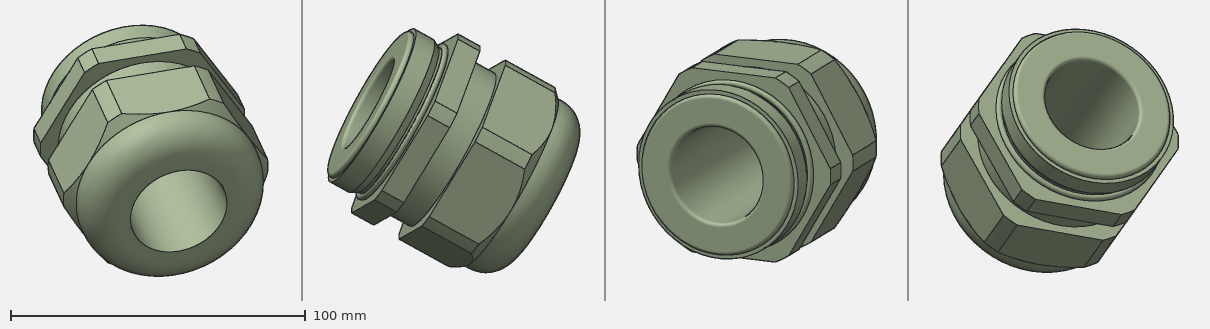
import cadquery as cq
import math

total_length = 69.0
across_flats = 65.0
across_corners = 72.0
bore_diameter = 34.0
lead_diameter = 56.35
thread_diameter = 59.3
neck_diameter = 59.4
edge_rounding = 1.3
ring_thickness = 2.15
ring_diameter = 60.2

thread_start = 1.65
thread_end = 9.0
groove_start = 11.6
flange_start = 14.5
flange_end = 23.1
nut_start = 33.0
nut_chamfer_start = 52.55
dome_start = 55.9
dome_rounding_start = 57.9
dome_rounding = total_length - dome_rounding_start

overlap = 0.7


def cylinder(start, end, diameter):
    return cq.Workplane("YZ").workplane(offset=start).circle(diameter / 2).extrude(end - start)


def rounded_hexagon(start, end):
    """Hexagonal prism with flats facing +Z and -Z and its corners turned round."""
    sharp_corners = across_flats / math.cos(math.radians(30))
    prism = cq.Workplane("YZ").workplane(offset=start).polygon(6, sharp_corners).extrude(end - start)
    return prism.intersect(cylinder(start, end, across_corners))


def threaded_end():
    """Entry lip, plain thread envelope, tapered runout and groove."""
    lip = cylinder(0, thread_start + overlap, lead_diameter).faces("<X").edges().fillet(edge_rounding)
    thread = cylinder(thread_start, thread_end, thread_diameter)
    runout = (
        cq.Workplane("XY")
        .moveTo(thread_end - overlap, 0)
        .lineTo(thread_end - overlap, thread_diameter / 2)
        .lineTo(thread_end, thread_diameter / 2)
        .lineTo(groove_start, lead_diameter / 2)
        .lineTo(flange_start + overlap, lead_diameter / 2)
        .lineTo(flange_start + overlap, 0)
        .close()
        .revolve(360, (0, 0, 0), (1, 0, 0))
    )
    return lip.union(thread).union(runout)


def sealing_ring():
    ring_radius = ring_thickness / 2
    return (
        cq.Workplane("XY")
        .center(flange_start - ring_radius, ring_diameter / 2 - ring_radius)
        .circle(ring_radius)
        .revolve(360, (0, -(ring_diameter / 2 - ring_radius), 0), (1, -(ring_diameter / 2 - ring_radius), 0))
    )


def cap_nut():
    """Hexagonal nut with a conical shoulder running into a round dome."""
    shoulder_and_dome = (
        cq.Workplane("XY")
        .moveTo(nut_start, 0)
        .lineTo(nut_start, across_corners / 2)
        .lineTo(nut_chamfer_start, across_corners / 2)
        .lineTo(dome_start, across_flats / 2)
        .lineTo(dome_start, 0)
        .close()
        .revolve(360, (0, 0, 0), (1, 0, 0))
    )
    nut = rounded_hexagon(nut_start, dome_start).intersect(shoulder_and_dome)
    dome = cylinder(dome_start, total_length, across_flats).faces(">X").edges().fillet(dome_rounding)
    return nut.union(dome)


def bore():
    """Through bore with a rounded mouth at the threaded end."""
    bore_radius = bore_diameter / 2
    arc_offset = edge_rounding * (1 - math.sqrt(0.5))
    return (
        cq.Workplane("XY")
        .lineTo(0, bore_radius + edge_rounding)
        .threePointArc((arc_offset, bore_radius + arc_offset), (edge_rounding, bore_radius))
        .lineTo(total_length, bore_radius)
        .lineTo(total_length, 0)
        .close()
        .revolve(360, (0, 0, 0), (1, 0, 0))
    )


neck = cylinder(flange_end - overlap, nut_start + overlap, neck_diameter)
result = (
    threaded_end()
    .union(sealing_ring())
    .union(rounded_hexagon(flange_start, flange_end))
    .union(neck)
    .union(cap_nut())
    .cut(bore())
)